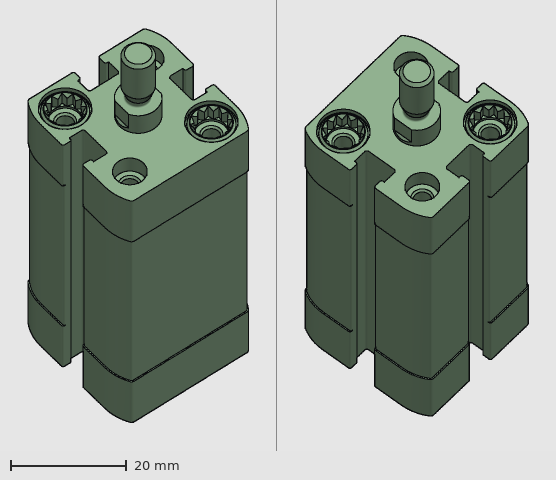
import cadquery as cq
import math

TOTAL_HEIGHT = 76.7

HOUSING_WIDTH = 29.0
HOUSING_HEIGHT = 60.05
CAP_HEIGHT = 11.05
BARREL_INSET = 0.27
CORNER_RADIUS = 10.0
CORNER_ARC_START = 9.0
CORNER_EDGE_RADIUS = 0.8

SLOT_OPENING = 5.4
SLOT_WIDTH = 6.75
SLOT_DEPTH = 5.15
LIP_DEPTH = 2.0
LIP_EDGE_RADIUS = 0.4
SLOT_FLOOR_RADIUS = 0.5

HOLE_OFFSET = 9.0
THROUGH_DIAMETER = 3.2
LEAD_IN_DIAMETER = 4.0
COUNTERBORE_DIAMETER = 6.0
COUNTERBORE_DEPTH = 3.5

RECESS_DIAMETER = 9.2
RECESS_DEPTH = 1.0
HEAD_DIAMETER = 8.5
HEAD_DROP = 0.15
HEAD_CHAMFER = 0.45
SOCKET_MOUTH_DIAMETER = 7.4
SOCKET_POINT_DIAMETER = 7.4
SOCKET_ROOT_DIAMETER = 6.0
SOCKET_DEPTH = 3.0
SOCKET_POINTS = 12

COLLAR_DIAMETER = 8.2
COLLAR_HEIGHT = 4.75
FLAT_DISTANCE = 7.3
FLAT_BOTTOM = 1.1
NECK_DIAMETER = 4.5
NECK_TOP = 5.9
NECK_FILLET = 0.3
THREAD_DIAMETER = 6.0
THREAD_BOTTOM = 8.0
THREAD_CHAMFER = 0.6

TOLERANCE = 0.01


def body_section(inset, bottom, height):
    """One length of the housing, its outer faces set back by the inset."""
    half = HOUSING_WIDTH / 2 - inset
    radius = CORNER_RADIUS - inset
    arc_centre = half - radius
    corner = half - CORNER_ARC_START
    side = arc_centre + math.sqrt(radius**2 - corner**2)
    middle_angle = math.asin(corner / radius) / 2
    arc_x = CORNER_ARC_START + radius * math.sin(middle_angle)
    arc_y = arc_centre + radius * math.cos(middle_angle)

    section = (
        cq.Workplane("XY", origin=(0, 0, bottom))
        .moveTo(-half, -side)
        .threePointArc((-arc_x, -arc_y), (-CORNER_ARC_START, -half))
        .lineTo(CORNER_ARC_START, -half)
        .threePointArc((arc_x, -arc_y), (half, -side))
        .lineTo(half, side)
        .threePointArc((arc_x, arc_y), (CORNER_ARC_START, half))
        .lineTo(-CORNER_ARC_START, half)
        .threePointArc((-arc_x, arc_y), (-half, side))
        .close()
        .extrude(height)
    )

    def is_corner_edge(edge):
        place = edge.Center()
        return abs(abs(place.x) - half) < TOLERANCE and abs(abs(place.y) - side) < TOLERANCE

    section = section.edges("|Z").filter(is_corner_edge).fillet(CORNER_EDGE_RADIUS - inset)
    return cut_slots(section, bottom, height)


def cut_slots(section, bottom, height):
    """Cut the three T-slots and round their lips and floor corners."""
    outer = HOUSING_WIDTH / 2
    floor = outer - SLOT_DEPTH
    lip = outer - LIP_DEPTH
    slot = (
        cq.Workplane("XY", origin=(0, 0, bottom))
        .moveTo(outer, -SLOT_OPENING / 2)
        .lineTo(lip, -SLOT_OPENING / 2)
        .lineTo(lip, -SLOT_WIDTH / 2)
        .lineTo(floor, -SLOT_WIDTH / 2)
        .lineTo(floor, SLOT_WIDTH / 2)
        .lineTo(lip, SLOT_WIDTH / 2)
        .lineTo(lip, SLOT_OPENING / 2)
        .lineTo(outer, SLOT_OPENING / 2)
        .close()
        .extrude(height)
    )
    for angle in (90, 180, 270):
        section = section.cut(slot.rotate((0, 0, 0), (0, 0, 1), angle))

    def is_lip_edge(edge):
        place = edge.Center()
        across = min(abs(place.x), abs(place.y))
        return abs(across - SLOT_OPENING / 2) < TOLERANCE

    def is_floor_corner(edge):
        place = edge.Center()
        across, along = sorted((abs(place.x), abs(place.y)))
        return abs(along - floor) < TOLERANCE and abs(across - SLOT_WIDTH / 2) < TOLERANCE

    section = section.edges("|Z").filter(is_lip_edge).fillet(LIP_EDGE_RADIUS)
    return section.edges("|Z").filter(is_floor_corner).fillet(SLOT_FLOOR_RADIUS)


def at_corners(tool, corners):
    """Copies of a tool at hole positions given as (x sign, y sign)."""
    return [tool.translate((x * HOLE_OFFSET, y * HOLE_OFFSET, 0)) for x, y in corners]


def through_hole():
    """A through hole that narrows conically below the counterbore floor."""
    floor = HOUSING_HEIGHT - COUNTERBORE_DEPTH
    radius = THROUGH_DIAMETER / 2
    lead_in = LEAD_IN_DIAMETER / 2
    return (
        cq.Workplane("XZ")
        .moveTo(0, 0)
        .lineTo(radius, 0)
        .lineTo(radius, floor - (lead_in - radius))
        .lineTo(lead_in, floor)
        .lineTo(0, floor)
        .close()
        .revolve(360, (0, 0), (0, 1))
    )


def counterbore():
    floor = HOUSING_HEIGHT - COUNTERBORE_DEPTH
    bottom = cq.Workplane("XY", origin=(0, 0, floor))
    return bottom.circle(COUNTERBORE_DIAMETER / 2).extrude(COUNTERBORE_DEPTH)


def screw_head_recess():
    """The ring-shaped gap and the space above a sunk, chamfered screw head."""
    head_top = HOUSING_HEIGHT - HEAD_DROP
    head_radius = HEAD_DIAMETER / 2
    return (
        cq.Workplane("XZ")
        .moveTo(0, HOUSING_HEIGHT)
        .lineTo(RECESS_DIAMETER / 2, HOUSING_HEIGHT)
        .lineTo(RECESS_DIAMETER / 2, HOUSING_HEIGHT - RECESS_DEPTH)
        .lineTo(head_radius, HOUSING_HEIGHT - RECESS_DEPTH)
        .lineTo(head_radius, head_top - HEAD_CHAMFER)
        .lineTo(head_radius - HEAD_CHAMFER, head_top)
        .lineTo(0, head_top)
        .close()
        .revolve(360, (0, 0), (0, 1))
    )


def twelve_point_socket():
    """A star-shaped socket with a conical mouth and a round clearance at its floor."""
    floor = HOUSING_HEIGHT - COUNTERBORE_DEPTH
    head_top = HOUSING_HEIGHT - HEAD_DROP
    mouth = SOCKET_MOUTH_DIAMETER / 2
    root = SOCKET_ROOT_DIAMETER / 2
    outline = []
    for step in range(2 * SOCKET_POINTS):
        radius = root if step % 2 else SOCKET_POINT_DIAMETER / 2
        angle = math.pi * step / SOCKET_POINTS
        outline.append((radius * math.cos(angle), radius * math.sin(angle)))
    star = (
        cq.Workplane("XY", origin=(0, 0, HOUSING_HEIGHT - SOCKET_DEPTH))
        .polyline(outline)
        .close()
        .extrude(SOCKET_DEPTH - HEAD_DROP)
    )
    bore = (
        cq.Workplane("XZ")
        .moveTo(0, floor)
        .lineTo(root, floor)
        .lineTo(root, head_top - (mouth - root))
        .lineTo(mouth, head_top)
        .lineTo(0, head_top)
        .close()
        .revolve(360, (0, 0), (0, 1))
    )
    return star.union(bore)


def make_housing():
    barrel_height = HOUSING_HEIGHT - 2 * CAP_HEIGHT
    housing = body_section(0, 0, CAP_HEIGHT)
    housing = housing.union(body_section(BARREL_INSET, CAP_HEIGHT, barrel_height))
    housing = housing.union(body_section(0, HOUSING_HEIGHT - CAP_HEIGHT, CAP_HEIGHT))

    plain_corners = [(-1, 1), (1, -1)]
    screw_corners = [(-1, -1), (1, 1)]
    cutters = at_corners(through_hole(), plain_corners + screw_corners)
    cutters += at_corners(counterbore(), plain_corners)
    cutters += at_corners(screw_head_recess(), screw_corners)
    cutters += at_corners(twelve_point_socket(), screw_corners)
    for cutter in cutters:
        housing = housing.cut(cutter)
    return housing


def make_piston_rod():
    """Turned rod with a collar, an undercut neck and a thread, flattened on its collar."""
    collar = COLLAR_DIAMETER / 2
    neck = NECK_DIAMETER / 2
    thread = THREAD_DIAMETER / 2
    length = TOTAL_HEIGHT - HOUSING_HEIGHT
    fillet_middle = NECK_FILLET * (1 - math.sqrt(0.5))
    rod = (
        cq.Workplane("XZ")
        .moveTo(0, 0)
        .lineTo(collar, 0)
        .lineTo(collar, COLLAR_HEIGHT)
        .lineTo(neck + NECK_FILLET, COLLAR_HEIGHT)
        .threePointArc(
            (neck + fillet_middle, COLLAR_HEIGHT + fillet_middle),
            (neck, COLLAR_HEIGHT + NECK_FILLET),
        )
        .lineTo(neck, NECK_TOP)
        .lineTo(thread, THREAD_BOTTOM)
        .lineTo(thread, length - THREAD_CHAMFER)
        .lineTo(thread - THREAD_CHAMFER, length)
        .lineTo(0, length)
        .close()
        .revolve(360, (0, 0), (0, 1))
    )

    flat = FLAT_DISTANCE / 2
    run_out = collar - flat
    flat_cutter = (
        cq.Workplane("YZ", origin=(-collar, 0, 0))
        .moveTo(flat, COLLAR_HEIGHT)
        .lineTo(flat, FLAT_BOTTOM)
        .lineTo(collar, FLAT_BOTTOM - run_out)
        .lineTo(collar, COLLAR_HEIGHT)
        .close()
        .extrude(COLLAR_DIAMETER)
    )
    rod = rod.cut(flat_cutter).cut(flat_cutter.mirror("XZ"))
    return rod.translate((0, 0, HOUSING_HEIGHT))


housing = make_housing()
piston_rod = make_piston_rod()

result = cq.Compound.makeCompound([housing.val(), piston_rod.val()])